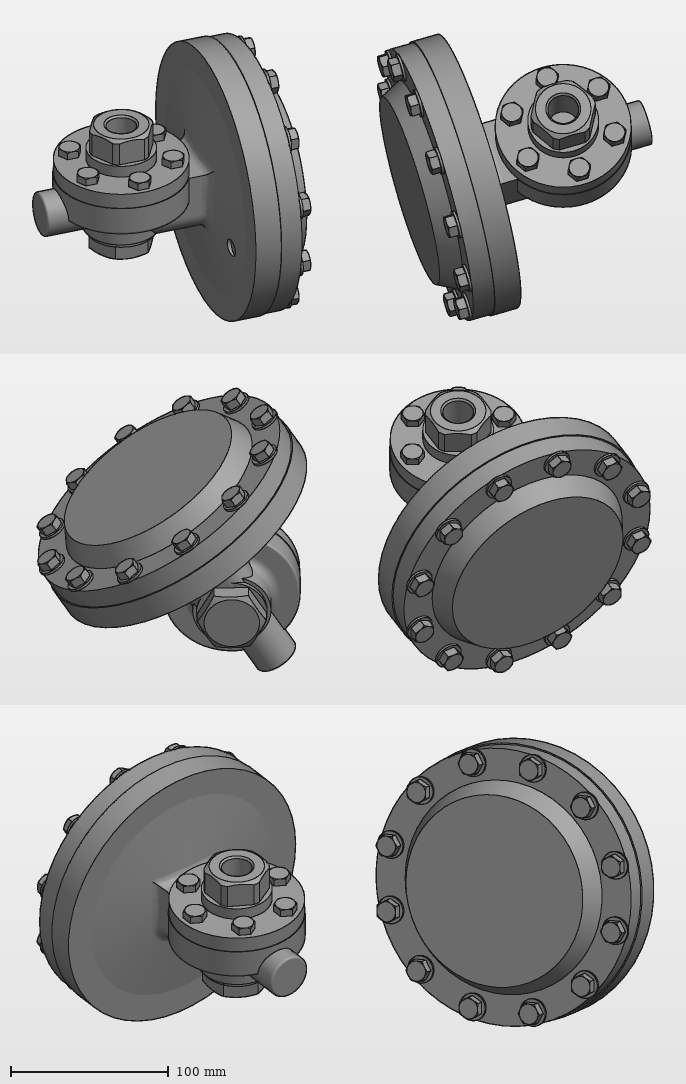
import cadquery as cq
import math


housing_radius = 90.5
housing_split_y = 17.4
cover_rim_y = 31.5
cover_back_y = 45.1
cover_radius = 89.6
dome_base_radius = 69.2
dome_back_radius = 62.1
cone_radius = 72.0
cone_height = 8.5

vent_x = 51.5
vent_z = -19.0
vent_radius = 5.6

housing_bolt_count = 12
housing_bolt_circle_radius = 81.7
washer_radius = 8.9
washer_thickness = 1.6
housing_bolt_height = 7.6
bolt_width = 13.0

valve_y = -57.2
top_nut_z = 55.5
collar_top_z = 38.0
lid_top_z = 30.0
body_top_z = 19.5
body_bottom_z = 0.0
barrel_bottom_z = -19.4
ring_bottom_z = -22.6
bottom_nut_z = -34.5

body_radius = 43.5
body_edge_radius = 1.5
lid_radius = 43.1
collar_radius = 22.5
barrel_radius = 24.8
barrel_fillet = 6.0

nut_width = 38.0
top_nut_corner_radius = 20.8
nut_face_radius = 17.5
hex_chamfer_angle = 30.0

port_radius = 9.8
port_chamfer = 1.3
port_depth = 25.4

lid_bolt_count = 6
lid_bolt_circle_radius = 33.3
lid_bolt_height = 5.3

neck_half_width = 22.1
neck_bottom_z = -22.8
neck_corner_radius = 12.9
neck_flare_radius = 6.0

pipe_radius = 14.5
pipe_end_y = -112.3
pipe_edge_radius = 1.5


def hexagon_diameter(width):
    """Corner-to-corner size of a hexagon with the given width across flats."""
    return width / math.cos(math.pi / 6)


def valve_cylinder(radius, bottom_z, top_z):
    plane = cq.Workplane("XY", origin=(0, valve_y, bottom_z))
    return plane.circle(radius).extrude(top_z - bottom_z)


def make_housing():
    profile = [
        (0, -cone_height),
        (cone_radius, 0),
        (housing_radius, 0),
        (housing_radius, housing_split_y),
        (cover_radius, housing_split_y),
        (cover_radius, cover_rim_y),
        (dome_base_radius, cover_rim_y),
        (dome_back_radius, cover_back_y),
        (0, cover_back_y),
    ]
    return cq.Workplane("XY").polyline(profile).close().revolve(360, (0, 0), (0, 1))


def make_neck():
    """Arm from the housing to the valve axis, square on top and rounded below."""
    neck_height = body_top_z - neck_bottom_z
    middle_z = (body_top_z + neck_bottom_z) / 2
    plane = cq.Workplane("XZ", origin=(0, 0, middle_z))
    neck = plane.rect(2 * neck_half_width, neck_height).extrude(-valve_y)
    return neck.edges("|Y and <Z").fillet(neck_corner_radius)


def flare_neck(housing_with_neck):
    """Round the joint where the neck leaves the front cone."""
    margin = 0.9
    reach = neck_half_width + margin
    joint = cq.selectors.BoxSelector(
        (-reach, -cone_height, neck_bottom_z - margin),
        (reach, -margin, body_top_z + margin),
    )
    return housing_with_neck.edges(joint).fillet(neck_flare_radius)


def make_hex(width, height, corner_radius, face_radius):
    """Upright hexagon on Z = 0 with corners at +-Y and a cone-chamfered top face."""
    prism = cq.Workplane("XY").polygon(6, hexagon_diameter(width)).extrude(height)
    prism = prism.rotate((0, 0, 0), (0, 0, 1), 30)
    drop = (corner_radius - face_radius) * math.tan(math.radians(hex_chamfer_angle))
    envelope = [
        (0, 0),
        (corner_radius, 0),
        (corner_radius, height - drop),
        (face_radius, height),
        (0, height),
    ]
    turned = cq.Workplane("XZ").polyline(envelope).close().revolve(360, (0, 0), (0, 1))
    return prism.intersect(turned)


def make_bolt_head(height):
    """Bolt head whose top face is the circle touching its flats."""
    return make_hex(bolt_width, height, hexagon_diameter(bolt_width) / 2, bolt_width / 2)


def make_housing_bolts():
    """Ring of washers and bolt heads standing on the back of the housing rim."""
    washer = cq.Workplane("XY").circle(washer_radius).extrude(washer_thickness)
    bolt = make_bolt_head(housing_bolt_height).union(washer)
    pitch = 360 / housing_bolt_count
    bolt = bolt.rotate((0, 0, 0), (0, 0, 1), -pitch / 2).rotate((0, 0, 0), (1, 0, 0), -90)
    bolt = bolt.translate((housing_bolt_circle_radius, cover_rim_y, 0))
    bolts = cq.Workplane("XY")
    for index in range(housing_bolt_count):
        angle = (index + 0.5) * pitch
        bolts = bolts.union(bolt.rotate((0, 0, 0), (0, 1, 0), -angle))
    return bolts


def make_lid_bolts():
    """Ring of bolt heads on the valve lid."""
    bolt = make_bolt_head(lid_bolt_height)
    bolt = bolt.translate((lid_bolt_circle_radius, valve_y, lid_top_z))
    bolts = cq.Workplane("XY")
    for index in range(lid_bolt_count):
        angle = index * 360 / lid_bolt_count
        bolts = bolts.union(bolt.rotate((0, valve_y, 0), (0, valve_y, 1), angle))
    return bolts


def make_top_nut():
    nut = make_hex(nut_width, top_nut_z - collar_top_z, top_nut_corner_radius, nut_face_radius)
    return nut.translate((0, valve_y, collar_top_z))


def make_bottom_nut():
    corner_radius = hexagon_diameter(nut_width) / 2
    nut = make_hex(nut_width, ring_bottom_z - bottom_nut_z, corner_radius, nut_face_radius)
    return nut.rotate((0, 0, 0), (1, 0, 0), 180).translate((0, valve_y, ring_bottom_z))


def make_body():
    body = valve_cylinder(body_radius, body_bottom_z, body_top_z)
    return body.faces("<Z").edges().fillet(body_edge_radius)


def make_barrel():
    """Lower barrel, flared by a concave round where it meets the body."""
    flare_radius = barrel_radius + barrel_fillet
    flare_bottom_z = body_bottom_z - barrel_fillet
    middle = barrel_fillet * math.sqrt(0.5)
    profile = (
        cq.Workplane("XZ", origin=(0, valve_y, 0))
        .moveTo(0, barrel_bottom_z)
        .lineTo(barrel_radius, barrel_bottom_z)
        .lineTo(barrel_radius, flare_bottom_z)
        .threePointArc(
            (flare_radius - middle, flare_bottom_z + middle),
            (flare_radius, body_bottom_z),
        )
        .lineTo(flare_radius, body_bottom_z + body_edge_radius)
        .lineTo(0, body_bottom_z + body_edge_radius)
        .close()
    )
    return profile.revolve(360, (0, 0), (0, 1))


def make_pipe():
    plane = cq.Workplane("XZ", origin=(0, valve_y, 0))
    pipe = plane.circle(pipe_radius).extrude(valve_y - pipe_end_y)
    return pipe.faces("<Y").edges().fillet(pipe_edge_radius)


def make_vent():
    plane = cq.Workplane("XZ", origin=(vent_x, 0, vent_z))
    return plane.circle(vent_radius).extrude(cone_height)


def make_port():
    port = valve_cylinder(port_radius, top_nut_z - port_depth, top_nut_z)
    mouth = (
        cq.Workplane("XY", origin=(0, valve_y, top_nut_z))
        .circle(port_radius + port_chamfer)
        .workplane(offset=-port_chamfer)
        .circle(port_radius)
        .loft()
    )
    return port.union(mouth)


result = flare_neck(make_housing().union(make_neck()))
result = (
    result.union(make_housing_bolts())
    .union(make_body())
    .union(make_barrel())
    .union(make_pipe())
    .union(valve_cylinder(lid_radius, body_top_z, lid_top_z))
    .union(valve_cylinder(collar_radius, lid_top_z, collar_top_z))
    .union(valve_cylinder(collar_radius, ring_bottom_z, barrel_bottom_z))
    .union(make_lid_bolts())
    .union(make_top_nut())
    .union(make_bottom_nut())
    .cut(make_port())
    .cut(make_vent())
)